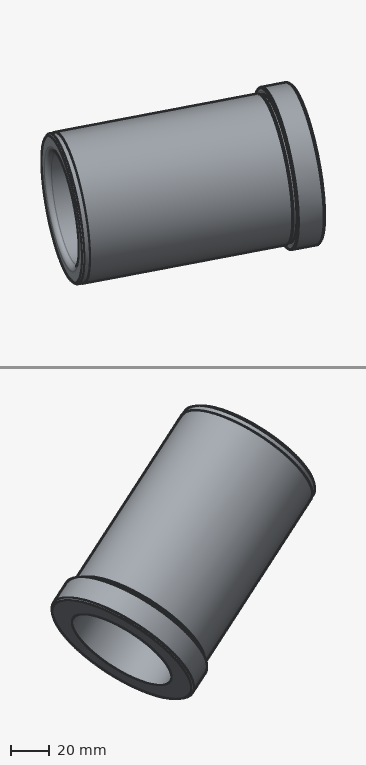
import cadquery as cq

length = 130.0
head_radius = 43.0
head_length = 15.0
head_rear_chamfer = 1.0
head_front_chamfer = 0.5

body_radius = 40.0
bore_radius = 30.0
bore_mouth_round = 3.0

groove_radius = 39.4
groove_length = 2.2
groove_ramp_length = 0.9
face_relief_depth = 0.3
face_relief_radius = 40.8

pilot_radius = 39.8
pilot_length = 4.0
pilot_chamfer = 1.0

head_front = length - head_length
groove_start = head_front - groove_length

half_section = (
    cq.Workplane("XY")
    .moveTo(bore_radius + bore_mouth_round, 0)
    .lineTo(pilot_radius - pilot_chamfer, 0)
    .lineTo(pilot_radius, pilot_chamfer)
    .lineTo(pilot_radius, pilot_length)
    .lineTo(body_radius, pilot_length)
    .lineTo(body_radius, groove_start)
    .lineTo(groove_radius, groove_start + groove_ramp_length)
    .lineTo(groove_radius, head_front + face_relief_depth)
    .lineTo(face_relief_radius, head_front)
    .lineTo(head_radius - head_front_chamfer, head_front)
    .lineTo(head_radius, head_front + head_front_chamfer)
    .lineTo(head_radius, length - head_rear_chamfer)
    .lineTo(head_radius - head_rear_chamfer, length)
    .lineTo(bore_radius, length)
    .lineTo(bore_radius, bore_mouth_round)
    .radiusArc((bore_radius + bore_mouth_round, 0), -bore_mouth_round)
    .close()
)

result = half_section.revolve(360, (0, 0, 0), (0, 1, 0))